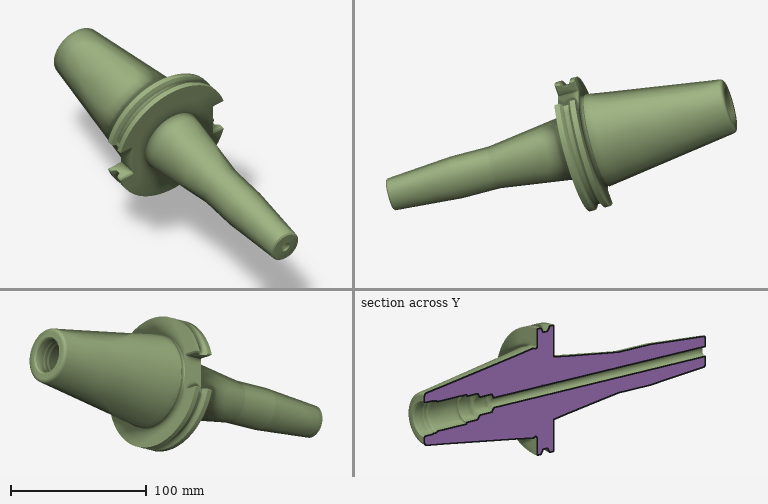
import cadquery as cq
import math


total_length = 261.8
taper_length = 101.8
flange_start = 105.0
flange_width = 15.7
flange_end = flange_start + flange_width
neck_shoulder_length = 2.4
neck_end = 181.5
nose_taper_length = 50.8

gauge_radius = 35.0
taper_slope = 7 / 48
small_end_radius = gauge_radius - taper_length * taper_slope
small_end_fillet = 2.5
flange_radius = 49.2
neck_flange_radius = 24.5
neck_start_radius = 24.0
shank_radius = 16.0
nose_radius = 12.0
nose_chamfer = 1.0

relief_depth = 0.8

groove_floor_width = 3.7
groove_depth = 3.7
groove_half_angle = math.radians(30)

slot_width = 25.7
slot_chamfer = 1.0
front_floor_distance = 35.3
back_floor_distance = 37.5

counterbore_radius = 12.8
counterbore_chamfer = 1.0
counterbore_depth = 8.0
relief_bore_radius = 12.3
relief_bore_depth = 11.3
thread_radius = 11.3
thread_depth = 39.3
pilot_radius = 10.0
pilot_depth = 49.7
inner_radius = 6.8
inner_depth = 62.8
coolant_radius = 3.7
drill_point_angle = 118
drill_slope = 1 / math.tan(math.radians(drill_point_angle / 2))


def revolve_profile(points):
    """Revolve (x, radius) points about the X axis, closing the outline along the axis."""
    outline = [(points[0][0], 0), *points, (points[-1][0], 0)]
    return cq.Workplane("XY").polyline(outline).close().revolve(360, (0, 0, 0), (1, 0, 0))


def make_body():
    """Outer shape without the gripper groove, slots and bore."""
    nose_start = total_length - nose_taper_length
    body = revolve_profile([
        (0, small_end_radius),
        (taper_length, gauge_radius),
        (taper_length + relief_depth, gauge_radius - relief_depth),
        (flange_start - relief_depth, gauge_radius - relief_depth),
        (flange_start, gauge_radius),
        (flange_start, flange_radius),
        (flange_end, flange_radius),
        (flange_end, neck_flange_radius),
        (flange_end + neck_shoulder_length, neck_start_radius),
        (neck_end, shank_radius),
        (nose_start, shank_radius),
        (total_length, nose_radius),
    ])
    body = body.faces("<X").edges().fillet(small_end_fillet)
    return body.faces(">X").edges().chamfer(nose_chamfer)


def make_gripper_groove():
    """Ring with the V-shaped, flat-bottomed section of the gripper groove."""
    middle = flange_start + flange_width / 2
    floor_half = groove_floor_width / 2
    mouth_half = floor_half + groove_depth * math.tan(groove_half_angle)
    floor_radius = flange_radius - groove_depth
    outline = [
        (middle - mouth_half, flange_radius),
        (middle - floor_half, floor_radius),
        (middle + floor_half, floor_radius),
        (middle + mouth_half, flange_radius),
    ]
    return cq.Workplane("XY").polyline(outline).close().revolve(360, (0, 0, 0), (1, 0, 0))


def make_slot(side, floor_distance):
    """Cutter for the drive slot on the -Y side (side = -1) or the +Y side (side = 1)."""
    depth = flange_radius - floor_distance
    return cq.Workplane("XY").box(flange_width, depth, slot_width).translate(
        (flange_start + flange_width / 2, side * (floor_distance + depth / 2), 0)
    )


def make_slot_edge_bevel(side, floor_distance):
    """Cutter for the 45 degree bevels where the slot walls meet the flange faces."""
    depth = flange_radius - floor_distance
    half = slot_width / 2
    bevels = cq.Workplane("XZ")
    for wall in (-1, 1):
        for face_x, inward in ((flange_start, 1), (flange_end, -1)):
            triangle = [
                (face_x, wall * half),
                (face_x + inward * slot_chamfer, wall * half),
                (face_x, wall * (half + slot_chamfer)),
            ]
            bevel = cq.Workplane("XZ").polyline(triangle).close().extrude(-side * depth)
            bevels = bevels.union(bevel.translate((0, side * floor_distance, 0)))
    return bevels


def make_rim_bevel(side):
    """Cutter for the bevels where the slot walls meet the rim of the flange."""
    half = slot_width / 2
    tip_half = half + slot_chamfer
    rim_y = math.sqrt(flange_radius**2 - tip_half**2)
    outline = [
        (side * (rim_y - slot_chamfer), half),
        (side * rim_y, tip_half),
        (side * flange_radius, tip_half),
        (side * flange_radius, -tip_half),
        (side * rim_y, -tip_half),
        (side * (rim_y - slot_chamfer), -half),
    ]
    cutter = cq.Workplane("YZ").polyline(outline).close().extrude(flange_width)
    return cutter.translate((flange_start, 0, 0))


def make_bore():
    """Counterbore, thread core, two drilled steps and the through coolant hole."""
    pilot_tip = pilot_depth + (pilot_radius - inner_radius) * drill_slope
    inner_tip = inner_depth + (inner_radius - coolant_radius) * drill_slope
    return revolve_profile([
        (0, counterbore_radius + counterbore_chamfer),
        (counterbore_chamfer, counterbore_radius),
        (counterbore_depth, counterbore_radius),
        (counterbore_depth + counterbore_radius - relief_bore_radius, relief_bore_radius),
        (relief_bore_depth, relief_bore_radius),
        (relief_bore_depth + relief_bore_radius - thread_radius, thread_radius),
        (thread_depth, thread_radius),
        (thread_depth, pilot_radius),
        (pilot_depth, pilot_radius),
        (pilot_tip, inner_radius),
        (inner_depth, inner_radius),
        (inner_tip, coolant_radius),
        (total_length, coolant_radius),
    ])


holder = make_body().cut(make_gripper_groove()).cut(make_bore())
for side, floor_distance in ((-1, front_floor_distance), (1, back_floor_distance)):
    holder = holder.cut(make_slot(side, floor_distance))
    holder = holder.cut(make_slot_edge_bevel(side, floor_distance))
    holder = holder.cut(make_rim_bevel(side))

result = holder.solids()